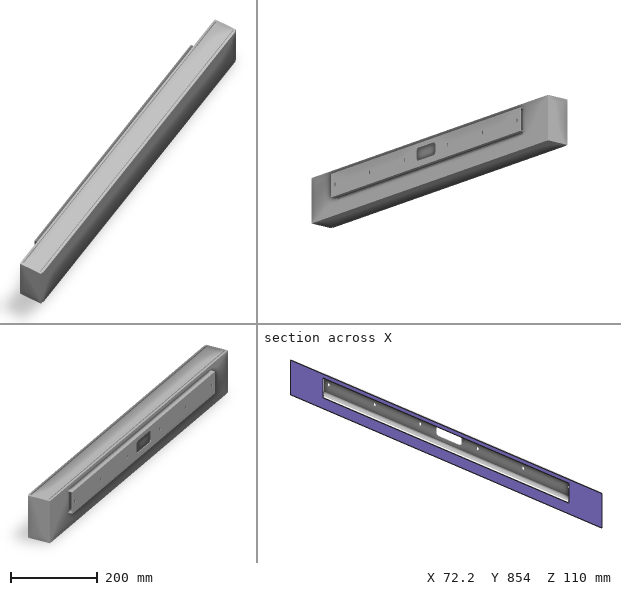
import cadquery as cq

TOTAL_X = 72.2
TOTAL_Y = 854.0
TOTAL_Z = 109.97
TOP_Z = TOTAL_Z / 2

CHANNEL_STANDOFF = 12.2
CHANNEL_LENGTH = 684.0
CHANNEL_HEIGHT = 57.0
CHANNEL_SHEET = 1.5
CHANNEL_DROP = 12.5

HOUSING_X = TOTAL_X - CHANNEL_STANDOFF
HOUSING_FACE_X = TOTAL_X / 2 - HOUSING_X
CAP_THICKNESS = 6.0
CAP_INSET_BACK = 0.4
CAP_INSET_FRONT = 2.0
HOUSING_Y = TOTAL_Y - 2 * CAP_THICKNESS

GROOVE_WIDTH = 2.5
GROOVE_DEPTH = 2.0
GROOVE_EDGE_DISTANCE = 6.2

RECESS_DEPTH = 2.0
RECESS_END_MARGIN = 6.0
RECESS_MARGIN_BELOW = 5.0

SCREW_SLOT_WIDTH = 5.0
SCREW_SLOT_HEIGHT = 9.5
SCREW_SLOT_DROP = 41.5
FIRST_SCREW_SLOT_Y = 78.5
SCREW_SLOT_PITCH = 125.0
SCREW_SLOTS_PER_SIDE = 3
WINDOW_WIDTH = 70.0
WINDOW_HEIGHT = 31.0
WINDOW_RADIUS = 8.0
WINDOW_DROP = 39.0


def block(x_min, x_max, y_size, z_min, z_max):
    """Box centred on Y between the given X and Z limits."""
    center = ((x_min + x_max) / 2, 0, (z_min + z_max) / 2)
    return cq.Workplane("XY").box(x_max - x_min, y_size, z_max - z_min).translate(center)


def make_housing():
    """Long body with two grooves along its top."""
    back_x = HOUSING_FACE_X
    front_x = TOTAL_X / 2
    housing = block(back_x, front_x, HOUSING_Y, -TOP_Z, TOP_Z)
    for x in (back_x + GROOVE_EDGE_DISTANCE, front_x - GROOVE_EDGE_DISTANCE):
        half_width = GROOVE_WIDTH / 2
        groove = block(x - half_width, x + half_width, HOUSING_Y, TOP_Z - GROOVE_DEPTH, TOP_Z)
        housing = housing.cut(groove)
    return housing


def make_end_cap(side):
    """Plate closing one end of the housing; side is -1 or 1 along Y."""
    cap = block(
        HOUSING_FACE_X + CAP_INSET_BACK, TOTAL_X / 2 - CAP_INSET_FRONT, CAP_THICKNESS, -TOP_Z, TOP_Z
    )
    return cap.translate((0, side * (TOTAL_Y - CAP_THICKNESS) / 2, 0))


def make_recess():
    """Shallow pocket behind the channel, reaching just below it."""
    z_max = TOP_Z - CHANNEL_DROP
    z_min = z_max - CHANNEL_HEIGHT - RECESS_MARGIN_BELOW
    length = CHANNEL_LENGTH - 2 * RECESS_END_MARGIN
    return block(HOUSING_FACE_X, HOUSING_FACE_X + RECESS_DEPTH, length, z_min, z_max)


def make_channel():
    """C-shaped rail, open towards the housing and at both ends."""
    web_x = -TOTAL_X / 2
    floor_x = HOUSING_FACE_X + RECESS_DEPTH
    z_max = TOP_Z - CHANNEL_DROP
    z_min = z_max - CHANNEL_HEIGHT
    outer = block(web_x, floor_x, CHANNEL_LENGTH, z_min, z_max)
    hollow = block(
        web_x + CHANNEL_SHEET, floor_x, CHANNEL_LENGTH, z_min + CHANNEL_SHEET, z_max - CHANNEL_SHEET
    )
    return outer.cut(hollow).cut(make_screw_slots()).cut(make_window())


def make_screw_slots():
    """Upright slots through the web, mirrored about the middle of the rail."""
    slot_ys = [FIRST_SCREW_SLOT_Y + i * SCREW_SLOT_PITCH for i in range(SCREW_SLOTS_PER_SIDE)]
    centers = [(side * y, TOP_Z - SCREW_SLOT_DROP) for side in (-1, 1) for y in slot_ys]
    return (
        cq.Workplane("YZ", origin=(-TOTAL_X / 2, 0, 0))
        .pushPoints(centers)
        .slot2D(SCREW_SLOT_HEIGHT, SCREW_SLOT_WIDTH, 90)
        .extrude(CHANNEL_SHEET)
    )


def make_window():
    """Rounded cable opening through the middle of the web."""
    z_center = TOP_Z - WINDOW_DROP
    half_height = WINDOW_HEIGHT / 2
    web_x = -TOTAL_X / 2
    window = block(
        web_x, web_x + CHANNEL_SHEET, WINDOW_WIDTH, z_center - half_height, z_center + half_height
    )
    return window.edges("|X").fillet(WINDOW_RADIUS)


result = make_housing().cut(make_recess())
for end in (-1, 1):
    result = result.union(make_end_cap(end))
result = result.union(make_channel())